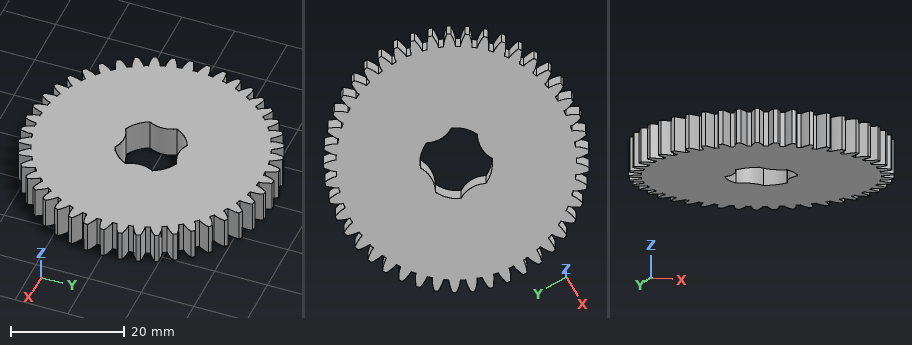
import cadquery as cq
import math

tooth_count = 45
tip_radius = 23.5
thickness = 6.25
pressure_angle = math.radians(20)
dedendum_factor = 1.25
module = tip_radius / (tooth_count / 2 + 1)
pitch_radius = module * tooth_count / 2
root_radius = pitch_radius - dedendum_factor * module
base_radius = pitch_radius * math.cos(pressure_angle)
flank_point_count = 6

bore_radius = 6.4
lobe_reach = 5.15
lobe_radius = 5.15
lobe_count = 4


def polar(radius, angle):
    return radius * math.cos(angle), radius * math.sin(angle)


def involute_angle(radius):
    """Polar angle swept by the involute between the base circle and the radius."""
    roll = math.sqrt((radius / base_radius) ** 2 - 1)
    return roll - math.atan(roll)


def tooth_half_angle(radius):
    """Half of the angle that a tooth fills at the radius."""
    pitch_half_angle = math.pi / (2 * tooth_count)
    return pitch_half_angle + involute_angle(pitch_radius) - involute_angle(radius)


def gear_blank():
    """Solid disc with involute teeth, one of them centred on +X."""
    radius_step = (tip_radius - root_radius) / (flank_point_count - 1)
    radii = [root_radius + i * radius_step for i in range(flank_point_count)]
    pitch_angle = 2 * math.pi / tooth_count
    root_half_angle = tooth_half_angle(root_radius)

    outline = cq.Workplane("XY").moveTo(*polar(root_radius, -root_half_angle))
    for tooth in range(tooth_count):
        centre = tooth * pitch_angle
        rising = [polar(r, centre - tooth_half_angle(r)) for r in radii]
        falling = [polar(r, centre + tooth_half_angle(r)) for r in reversed(radii)]
        gap_middle = polar(root_radius, centre + pitch_angle / 2)
        next_root = polar(root_radius, centre + pitch_angle - root_half_angle)
        outline = outline.spline(rising[1:], includeCurrent=True)
        outline = outline.threePointArc(polar(tip_radius, centre), falling[0])
        outline = outline.spline(falling[1:], includeCurrent=True)
        outline = outline.threePointArc(gap_middle, next_root)
    return outline.close().extrude(thickness)


def bore():
    """Through cutter for the bore, scalloped by the four lobes."""
    cutter = cq.Workplane("XY").circle(bore_radius).extrude(thickness)
    lobes = (
        cq.Workplane("XY")
        .polarArray(lobe_reach + lobe_radius, 0, 360, lobe_count)
        .circle(lobe_radius)
        .extrude(thickness)
    )
    return cutter.cut(lobes)


result = gear_blank().cut(bore())